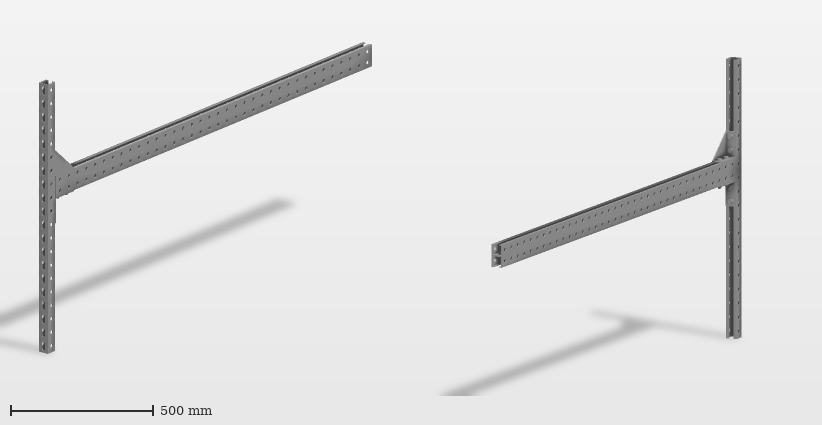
import cadquery as cq
import math

channel_width = 40.0
channel_depth = 40.0
post_length = 1000.0
overall_reach = 1845.0
plate_thickness = 4.0
beam_center_z = 109.0

sheet = 2.5
mouth_width = 18.0

slot_length = 31.0
slot_width = 14.0
side_hole_diameter = 13.0
post_slot_count = 20
beam_slot_count = 36

horizontal_leg = 107.0
vertical_leg = 95.0
bolt_inset = 18.0
bolt_spacing = 50.0
bracket_hole_diameter = 12.5

bolt_diameter = 10.0
head_across_flats = 17.0
head_height = 6.5
thread_overhang = 5.0
clamp_width = 33.0
clamp_height = 17.0
clamp_thickness = 7.0
clamp_overhang = 2.0

beam_start_y = channel_depth + plate_thickness
beam_length = overall_reach - beam_start_y
beam_height = 2 * channel_depth
beam_top_z = beam_center_z + beam_height / 2
beam_bottom_z = beam_center_z - beam_height / 2
post_pitch = post_length / post_slot_count
beam_pitch = beam_length / beam_slot_count

horizontal_tip_y = channel_depth + horizontal_leg
outer_bolt_y = horizontal_tip_y - bolt_inset
beam_bolt_ys = [outer_bolt_y, outer_bolt_y - bolt_spacing]
outer_bolt_rise = vertical_leg - bolt_inset
bolt_rises = [outer_bolt_rise, outer_bolt_rise - bolt_spacing]


def make_channel(length):
    """Lipped channel along +Z from z = 0, web at y = 0 and mouth at y = channel_depth."""
    half_width = channel_width / 2
    inner = half_width - sheet
    half_mouth = mouth_width / 2
    right_half = [
        (half_width, 0),
        (half_width, channel_depth),
        (half_mouth, channel_depth),
        (half_mouth, channel_depth - sheet),
        (inner, channel_depth - sheet),
        (inner, sheet),
    ]
    left_half = [(-x, y) for x, y in reversed(right_half)]
    return cq.Workplane("XY").polyline(right_half + left_half).close().extrude(length)


def perforate(channel, pitch, count):
    """Cut a row of slots in the web and a row of round holes through both side walls."""
    positions = [pitch * (i + 0.5) for i in range(count)]
    slots = (
        cq.Workplane("XZ", origin=(0, sheet, 0))
        .pushPoints([(0, z) for z in positions])
        .slot2D(slot_length, slot_width, 90)
        .extrude(sheet)
    )
    side_holes = (
        cq.Workplane("YZ", origin=(-channel_width / 2, 0, 0))
        .pushPoints([(channel_depth / 2, z) for z in positions])
        .circle(side_hole_diameter / 2)
        .extrude(channel_width)
    )
    return channel.cut(slots).cut(side_holes)


def make_post():
    """Upright channel, centred on z = 0, mouth toward +Y."""
    channel = perforate(make_channel(post_length), post_pitch, post_slot_count)
    return channel.translate((0, 0, -post_length / 2))


def make_beam():
    """Two channels welded web to web along Y, one mouth up and the other down."""
    channel = perforate(make_channel(beam_length), beam_pitch, beam_slot_count)
    lying = channel.rotate((0, 0, 0), (1, 0, 0), 90).translate((0, beam_length, 0))
    beam = lying.union(lying.mirror("XY"))
    return beam.translate((0, beam_start_y, beam_center_z))


def make_angle(seat_z, direction):
    """Angle bracket between post and beam; its vertical leg goes up (1) or down (-1) from seat_z."""
    thickness = direction * plate_thickness
    tip_z = seat_z + direction * vertical_leg
    profile = [
        (channel_depth, seat_z),
        (horizontal_tip_y, seat_z),
        (horizontal_tip_y, seat_z + thickness),
        (beam_start_y, seat_z + thickness),
        (beam_start_y, tip_z),
        (channel_depth, tip_z),
    ]
    left = -channel_width / 2
    angle = cq.Workplane("YZ", origin=(left, 0, 0)).polyline(profile).close().extrude(channel_width)
    beam_holes = (
        cq.Workplane("XY", origin=(0, 0, seat_z))
        .pushPoints([(0, y) for y in beam_bolt_ys])
        .circle(bracket_hole_diameter / 2)
        .extrude(thickness)
    )
    post_holes = (
        cq.Workplane("XZ", origin=(0, beam_start_y, 0))
        .pushPoints([(0, seat_z + direction * rise) for rise in bolt_rises])
        .circle(bracket_hole_diameter / 2)
        .extrude(plate_thickness)
    )
    return angle.cut(beam_holes).cut(post_holes)


def make_upper_bracket():
    """Angle standing on the beam, stiffened by a triangular gusset along its +X edge."""
    gusset_outline = [
        (channel_depth, beam_top_z),
        (horizontal_tip_y, beam_top_z),
        (horizontal_tip_y, beam_top_z + plate_thickness),
        (beam_start_y, beam_top_z + vertical_leg),
        (channel_depth, beam_top_z + vertical_leg),
    ]
    inner_face = channel_width / 2 - plate_thickness
    gusset = (
        cq.Workplane("YZ", origin=(inner_face, 0, 0))
        .polyline(gusset_outline)
        .close()
        .extrude(plate_thickness)
    )
    return make_angle(beam_top_z, 1).union(gusset)


def hexagon_head(height):
    """Hexagonal head from z = 0 to z = height, which may be negative."""
    across_corners = head_across_flats / math.cos(math.pi / 6)
    return cq.Workplane("XY").polygon(6, across_corners).extrude(height)


def make_post_bolt(z):
    """Bolt along Y: hexagon head on the bracket, clamping bar behind the lips of the post."""
    bar_depth = plate_thickness + sheet
    shank_length = bar_depth + clamp_thickness + clamp_overhang
    shank = cq.Workplane("XY").circle(bolt_diameter / 2).extrude(-shank_length)
    bar = (
        cq.Workplane("XY", origin=(0, 0, -bar_depth))
        .rect(clamp_width, clamp_height)
        .extrude(-clamp_thickness)
    )
    bolt = hexagon_head(head_height).union(shank).union(bar)
    return bolt.rotate((0, 0, 0), (1, 0, 0), -90).translate((0, beam_start_y, z))


def make_beam_bolt(y):
    """Bolt through both brackets and the whole beam, with its head above and its nut below."""
    grip = beam_height + 2 * plate_thickness
    overhang = head_height + thread_overhang
    shank = cq.Workplane("XY").circle(bolt_diameter / 2).extrude(-grip - overhang)
    head = hexagon_head(head_height)
    nut = hexagon_head(-head_height).translate((0, 0, -grip))
    bolt = shank.union(head).union(nut)
    return bolt.translate((0, y, beam_top_z + plate_thickness))


post = make_post()
beam = make_beam()
upper_bracket = make_upper_bracket()
lower_bracket = make_angle(beam_bottom_z, -1)

post_bolt_zs = [beam_top_z + rise for rise in bolt_rises]
post_bolt_zs += [beam_bottom_z - rise for rise in bolt_rises]
post_bolts = [make_post_bolt(z) for z in post_bolt_zs]
beam_bolts = [make_beam_bolt(y) for y in beam_bolt_ys]

bodies = [post, beam, upper_bracket, lower_bracket, *post_bolts, *beam_bolts]
result = cq.Compound.makeCompound([body.val() for body in bodies])